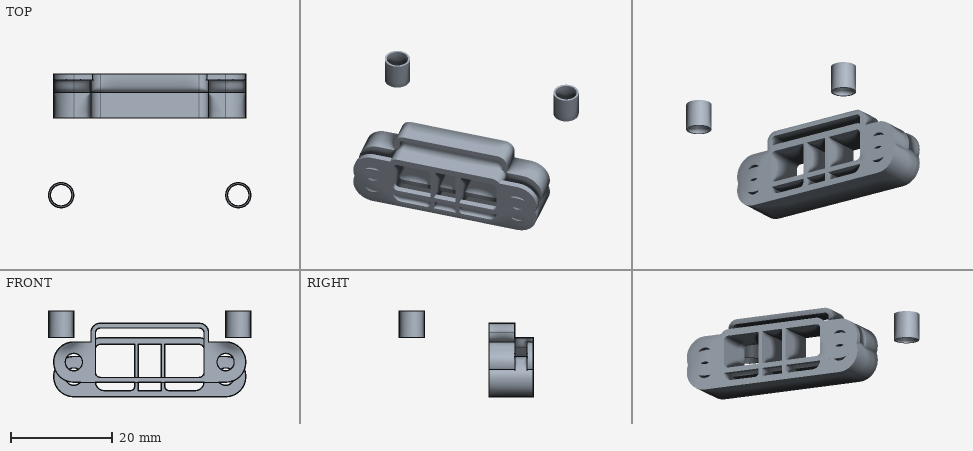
import cadquery as cq

screw_spacing = 30.0
flange_radius = 4.0
flange_height = 2 * flange_radius
screw_hole_diameter = 3.4
hump_width = 23.3
hump_rise = 3.7
hump_top = flange_height + hump_rise
hump_corner_radius = 1.9
base_fillet = 0.3

total_depth = 8.75
cover_depth = 5.1
plate_thickness = 1.2
cover_shift = 2.87

window_width = 21.4
cover_wall = 1.0
window_corner_radius = 0.9

base_floor = 1.25
base_roof = 1.35
middle_window_width = 4.5
bar_width = 0.75
outer_floor_radius = 1.7
inner_floor_radius = 0.8

tube_outer_diameter = 5.0
tube_inner_diameter = 4.2
tube_height = 5.3
tube_spacing = 35.0
tube_center_y = -15.24
tube_top_z = 17.0


def block(x_min, x_max, z_min, z_max, depth):
    """Box reaching from the front face back to the given depth."""
    body = cq.Workplane("XY").box(x_max - x_min, depth, z_max - z_min, centered=False)
    return body.translate((x_min, 0, z_min))


def flange(depth):
    """Round-ended bar lying on Z = 0."""
    return (
        cq.Workplane("XZ", origin=(0, 0, flange_radius))
        .slot2D(screw_spacing + 2 * flange_radius, flange_height)
        .extrude(-depth)
    )


def hump(depth):
    """Central block rising above the flange, with rounded upper corners."""
    body = block(-hump_width / 2, hump_width / 2, flange_radius, hump_top, depth)
    return body.edges("|Y and >Z").fillet(hump_corner_radius)


def screw_holes(depth):
    return (
        cq.Workplane("XZ", origin=(0, 0, flange_radius))
        .pushPoints([(-screw_spacing / 2, 0), (screw_spacing / 2, 0)])
        .circle(screw_hole_diameter / 2)
        .extrude(-depth)
    )


def cover_window(depth):
    opening = block(-window_width / 2, window_width / 2, cover_wall, hump_top - cover_wall, depth)
    return opening.edges("|Y").fillet(window_corner_radius)


def side_window():
    """Right-hand window of the base; the roof corner next to the bar stays sharp."""
    inner_x = middle_window_width / 2 + bar_width
    opening = block(inner_x, window_width / 2, base_floor, hump_top - base_roof, total_depth)
    opening = opening.edges("|Y and >X and >Z").fillet(window_corner_radius)
    opening = opening.edges("|Y").edges("<Z").edges(">X").fillet(outer_floor_radius)
    return opening.edges("|Y").edges("<X").edges("<Z").fillet(inner_floor_radius)


def make_cover():
    body = flange(cover_depth).union(hump(cover_depth))
    body = body.cut(cover_window(cover_depth)).cut(screw_holes(cover_depth))
    return body.translate((0, 0, cover_shift))


def make_back_plate():
    """U-shaped plate at the rear, open at the top between its two ears."""
    body = flange(plate_thickness).cut(cover_window(plate_thickness)).cut(screw_holes(plate_thickness))
    return body.translate((0, total_depth - plate_thickness, cover_shift))


def make_base(neighbours):
    """Full-depth housing, recessed to receive the cover and the back plate."""
    body = flange(total_depth).union(hump(total_depth))
    for side in (-1, 1):
        foot = cq.selectors.NearestToPointSelector((side * hump_width / 2, total_depth / 2, flange_height))
        body = body.edges(foot).fillet(base_fillet)

    half_middle = middle_window_width / 2
    body = body.cut(block(-half_middle, half_middle, base_floor, hump_top - base_roof, total_depth))
    right_window = side_window()
    body = body.cut(right_window).cut(right_window.mirror("YZ"))
    body = body.cut(screw_holes(total_depth))
    for neighbour in neighbours:
        body = body.cut(neighbour)
    return body


def make_tube(x):
    return (
        cq.Workplane("XY", origin=(x, tube_center_y, tube_top_z - tube_height))
        .circle(tube_outer_diameter / 2)
        .circle(tube_inner_diameter / 2)
        .extrude(tube_height)
    )


cover = make_cover()
back_plate = make_back_plate()
base = make_base([cover, back_plate])
tubes = [make_tube(side * tube_spacing / 2) for side in (-1, 1)]

result = cq.Compound.makeCompound(
    [body.solids().val() for body in (cover, back_plate, base, *tubes)]
)